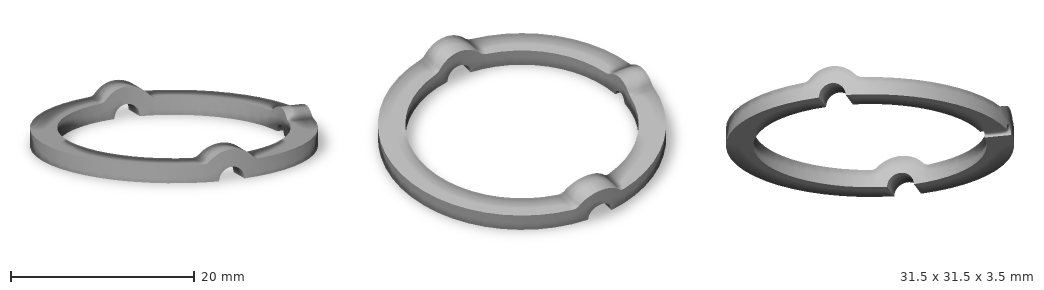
import cadquery as cq
import math

outer_diameter = 31.5
inner_diameter = 25.5
thickness = 2.02

side_arch_radius = 3.5
side_tunnel_radius = 1.5
rear_arch_radius = 2.9
rear_tunnel_radius = 0.9
blend_radius = 1.0

outer_radius = outer_diameter / 2


def arch_profile(plane, arch_radius):
    """Arch about the ring's bottom face, blended tangentially into its top."""
    blend_height = thickness + blend_radius
    blend_x = math.sqrt((arch_radius + blend_radius) ** 2 - blend_height ** 2)
    tangent_scale = arch_radius / (arch_radius + blend_radius)
    tangent_x = blend_x * tangent_scale
    tangent_z = blend_height * tangent_scale
    half_angle = math.atan2(blend_x, blend_height) / 2
    middle_x = blend_x - blend_radius * math.sin(half_angle)
    middle_z = blend_height - blend_radius * math.cos(half_angle)
    return (
        cq.Workplane(plane)
        .moveTo(-blend_x, 0)
        .lineTo(-blend_x, thickness)
        .threePointArc((-middle_x, middle_z), (-tangent_x, tangent_z))
        .threePointArc((0, arch_radius), (tangent_x, tangent_z))
        .threePointArc((middle_x, middle_z), (blend_x, thickness))
        .lineTo(blend_x, 0)
        .close()
    )


def tunnel_profile(plane, tunnel_radius):
    """Round passage centred on the ring's bottom face."""
    return cq.Workplane(plane).circle(tunnel_radius)


def ring(height):
    return (
        cq.Workplane("XY")
        .circle(outer_radius)
        .circle(inner_diameter / 2)
        .extrude(height)
    )


side_arches = arch_profile("YZ", side_arch_radius).extrude(outer_radius, both=True)
rear_arch = arch_profile("XZ", rear_arch_radius).extrude(-outer_radius)
side_tunnels = tunnel_profile("YZ", side_tunnel_radius).extrude(outer_radius, both=True)
rear_tunnel = tunnel_profile("XZ", rear_tunnel_radius).extrude(-outer_radius)

arches = side_arches.union(rear_arch).intersect(ring(side_arch_radius))
result = ring(thickness).union(arches).cut(side_tunnels).cut(rear_tunnel)